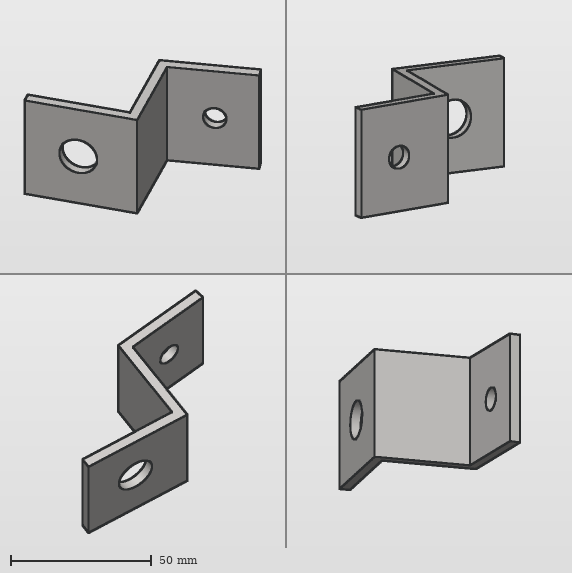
import cadquery as cq
import math

length = 74.85
height = 40.0
thickness = 4.0

foot_length = 42.0
web_top = 39.0
flange_tilt = 8.0

foot_hole_diameter = 14.0
foot_hole_x = 20.0
flange_hole_diameter = 8.4
flange_hole_from_end = 16.0

tilt = math.radians(flange_tilt)
along = (math.cos(tilt), math.sin(tilt))
across = (-along[1], along[0])

web_left = foot_length - thickness
flange_length = (length - web_left + thickness * across[0]) / along[0]
outer_end = (web_left + flange_length * along[0], web_top + flange_length * along[1])
inner_end = (outer_end[0] - thickness * across[0], outer_end[1] - thickness * across[1])
inner_corner_y = inner_end[1] - (inner_end[0] - foot_length) * math.tan(tilt)


def bracket_body():
    profile = [
        (0, 0),
        (foot_length, 0),
        (foot_length, inner_corner_y),
        inner_end,
        outer_end,
        (web_left, web_top),
        (web_left, thickness),
        (0, thickness),
    ]
    return cq.Workplane("XY").polyline(profile).close().extrude(height)


def plate_drill(x, y, direction, diameter):
    """Cylinder through one plate, starting on its -Y face at mid height."""
    margin = thickness
    start = cq.Vector(x - margin * direction[0], y - margin * direction[1], height / 2)
    axis = cq.Vector(direction[0], direction[1], 0)
    return cq.Solid.makeCylinder(diameter / 2, thickness + 2 * margin, start, axis)


foot_drill = plate_drill(foot_hole_x, 0, (0, 1), foot_hole_diameter)
flange_drill = plate_drill(
    inner_end[0] - flange_hole_from_end * along[0],
    inner_end[1] - flange_hole_from_end * along[1],
    across,
    flange_hole_diameter,
)

result = bracket_body().cut(foot_drill).cut(flange_drill)